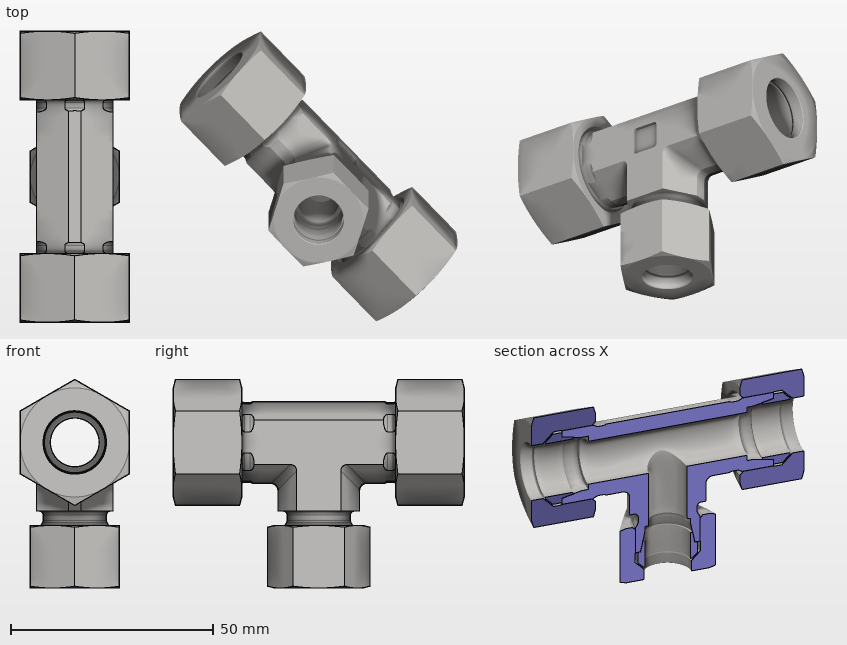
import cadquery as cq
import math


HEXAGON_HALF_ANGLE = 30.0

BAR_ACROSS_FLATS = 19.0
BAR_HEIGHT = 20.2
BAR_FILLET = 1.8
CLEAR_DIAMETER = 2 * BAR_HEIGHT

BADGE_WIDTH = 7.3
BADGE_HEIGHT = 7.05
BADGE_DROP = 1.0
BADGE_DEPTH = 1.0
BADGE_CORNER_RADIUS = 1.1

TUBE_STOP = 21.0
BODY_END = 28.0
RING_BACK = 32.4
NUT_CONE_TOP = 33.0
NUT_END = 36.0

RELIEF_FILLET = 1.0
RELIEF_RUN_OUT_ANGLE = 30.0
SEAT_HALF_ANGLE = 12.0
RING_NOSE_THICKNESS = 0.5
RING_BACK_WIDTH = 0.5
NUT_CHAMFER_ANGLE = 15.0
NUT_RIM_CHAMFER = 0.15
THREAD_MOUTH_CHAMFER = 0.8

RUN = dict(
    bore=12.0, tube=15.0, neck=19.7, thread=21.0, seat=17.3, ring=20.0, nut_hole=15.4,
    nut_flats=27.0, nut_length=17.0, relief_start=16.0, relief_end=18.35, bar_end=19.0,
)
BRANCH = dict(
    bore=10.0, tube=12.0, neck=15.7, thread=17.1, seat=14.3, ring=16.0, nut_hole=12.45,
    nut_flats=22.0, nut_length=15.5, relief_start=17.0, relief_end=19.3, bar_end=17.0,
)

ENDS = [(RUN, 90), (RUN, -90), (BRANCH, 180)]


def cylinder(diameter, start, end):
    """Cylinder on the local Z axis between two heights."""
    return cq.Workplane("XY").workplane(offset=start).circle(diameter / 2).extrude(end - start)


def hexagon(across_flats, start, end):
    """Hexagonal prism on the local Z axis with flats facing +-X and corners facing +-Y."""
    corner_diameter = across_flats / math.cos(math.radians(HEXAGON_HALF_ANGLE))
    prism = cq.Workplane("XY").workplane(offset=start).polygon(6, corner_diameter)
    return prism.extrude(end - start).rotate((0, 0, 0), (0, 0, 1), HEXAGON_HALF_ANGLE)


def revolve_profile(profile):
    """Revolve a closed profile of (radius, height) about the local Z axis."""
    return profile.close().revolve(360, (0, 0, 0), (0, 1, 0))


def half_plane_start(radius, height):
    """Start of a (radius, height) profile."""
    return cq.Workplane("XZ").moveTo(radius, height)


def bar(start, end):
    """Hexagonal bar on the local Z axis, with its two +-Y corners cut flat."""
    trim = cq.Workplane("XY").workplane(offset=start)
    trim = trim.rect(2 * BAR_ACROSS_FLATS, BAR_HEIGHT).extrude(end - start)
    return hexagon(BAR_ACROSS_FLATS, start, end).intersect(trim)


def turned_end(size):
    """Round neck with filleted relief, conical run-out and threaded length up to the body end."""
    neck = size["neck"] / 2
    thread = size["thread"] / 2
    angle = math.radians(RELIEF_RUN_OUT_ANGLE)
    start = size["relief_start"]
    arc_end = size["relief_end"] + RELIEF_FILLET * math.sin(angle)
    arc_end_radius = neck + RELIEF_FILLET * (1 - math.cos(angle))
    arc_middle = size["relief_end"] + RELIEF_FILLET * math.sin(angle / 2)
    arc_middle_radius = neck + RELIEF_FILLET * (1 - math.cos(angle / 2))
    run_out_end = arc_end + (thread - arc_end_radius) / math.tan(angle)
    bulge = RELIEF_FILLET * (1 - math.sqrt(0.5))
    return revolve_profile(
        half_plane_start(0, start)
        .lineTo(neck + RELIEF_FILLET, start)
        .threePointArc((neck + bulge, start + bulge), (neck, start + RELIEF_FILLET))
        .lineTo(neck, size["relief_end"])
        .threePointArc((arc_middle_radius, arc_middle), (arc_end_radius, arc_end))
        .lineTo(thread, run_out_end)
        .lineTo(thread, BODY_END)
        .lineTo(0, BODY_END)
    )


def arm(size):
    """Turned end of the body, with the bar's flats carried on over the part of it up to bar_end."""
    allowed = cylinder(CLEAR_DIAMETER, size["bar_end"], BODY_END)
    if size["bar_end"] > size["relief_start"]:
        allowed = allowed.union(bar(size["relief_start"], size["bar_end"]))
    return turned_end(size).intersect(allowed)


def arm_bores(size):
    """Flow bore, tube socket and conical ring seat of one end."""
    seat_depth = (size["seat"] - size["tube"]) / 2 / math.tan(math.radians(SEAT_HALF_ANGLE))
    bore = size["bore"] / 2
    tube = size["tube"] / 2
    return revolve_profile(
        half_plane_start(0, 0)
        .lineTo(bore, 0)
        .lineTo(bore, TUBE_STOP)
        .lineTo(tube, TUBE_STOP)
        .lineTo(tube, BODY_END - seat_depth)
        .lineTo(size["seat"] / 2, BODY_END)
        .lineTo(0, BODY_END)
    )


def make_nut(size):
    """Hexagon union nut with chamfered ends, a thread bore and a 45 degree cone around the ring."""
    face = NUT_END - size["nut_length"]
    flat_radius = size["nut_flats"] / 2
    corner_radius = flat_radius / math.cos(math.radians(HEXAGON_HALF_ANGLE))
    chamfer_drop = (corner_radius - flat_radius) * math.tan(math.radians(NUT_CHAMFER_ANGLE))
    envelope = revolve_profile(
        half_plane_start(0, face)
        .lineTo(flat_radius, face)
        .lineTo(corner_radius, face + chamfer_drop)
        .lineTo(corner_radius, NUT_END - chamfer_drop)
        .lineTo(flat_radius, NUT_END)
        .lineTo(0, NUT_END)
    )
    thread = size["thread"] / 2
    hole = size["nut_hole"] / 2
    cavity = revolve_profile(
        half_plane_start(0, face)
        .lineTo(thread + THREAD_MOUTH_CHAMFER, face)
        .lineTo(thread, face + THREAD_MOUTH_CHAMFER)
        .lineTo(thread, NUT_CONE_TOP - (thread - hole))
        .lineTo(hole, NUT_CONE_TOP)
        .lineTo(hole, NUT_END - NUT_RIM_CHAMFER)
        .lineTo(hole + NUT_RIM_CHAMFER, NUT_END)
        .lineTo(0, NUT_END)
    )
    return hexagon(size["nut_flats"], face, NUT_END).intersect(envelope).cut(cavity)


def make_ring(size):
    """Cutting ring: a nose in the body's seat, a collar on the body's end and a 45 degree back."""
    tube = size["tube"] / 2
    seat = size["seat"] / 2
    collar = size["ring"] / 2
    back = tube + RING_BACK_WIDTH
    nose_radius = tube + RING_NOSE_THICKNESS
    nose = BODY_END - (seat - nose_radius) / math.tan(math.radians(SEAT_HALF_ANGLE))
    return revolve_profile(
        half_plane_start(tube, nose)
        .lineTo(nose_radius, nose)
        .lineTo(seat, BODY_END)
        .lineTo(collar, BODY_END)
        .lineTo(collar, RING_BACK - (collar - back))
        .lineTo(back, RING_BACK)
        .lineTo(tube, RING_BACK)
    )


def turn_about_x(shape, angle):
    """Turn a shape about the X axis through the crossing of the run and branch."""
    return shape.rotate((0, 0, 0), (1, 0, 0), angle)


def is_mitre(edge):
    """True for the edges in the inner corners, where the run and branch bars meet at 45 degrees."""
    middle = edge.Center()
    return middle.z < 0 and math.isclose(abs(middle.y), -middle.z, abs_tol=0.001)


def bar_blank():
    """Run and branch bars joined, with the mitred inner corners filleted."""
    run_bar = turn_about_x(bar(-RUN["relief_start"], RUN["relief_start"]), 90)
    branch_bar = turn_about_x(bar(0, BRANCH["relief_start"]), 180)
    return run_bar.union(branch_bar).edges().filter(is_mitre).fillet(BAR_FILLET)


def make_body():
    """One-piece tee body with its bores and badge recess."""
    body = bar_blank()
    for size, angle in ENDS:
        body = body.union(turn_about_x(arm(size), angle))
    for size, angle in ENDS:
        body = body.cut(turn_about_x(arm_bores(size), angle))
    return body.cut(badge_recess())


def badge_recess():
    """Shallow rounded-square recess in the -X side of the body."""
    return (
        cq.Workplane("YZ", origin=(-BAR_ACROSS_FLATS / 2, 0, -BADGE_DROP))
        .rect(BADGE_WIDTH, BADGE_HEIGHT)
        .extrude(BADGE_DEPTH)
        .edges("|X")
        .fillet(BADGE_CORNER_RADIUS)
    )


body = make_body()
nuts = [turn_about_x(make_nut(size), angle).val() for size, angle in ENDS]
rings = [turn_about_x(make_ring(size), angle).val() for size, angle in ENDS]
result = cq.Compound.makeCompound([body.val(), *nuts, *rings])